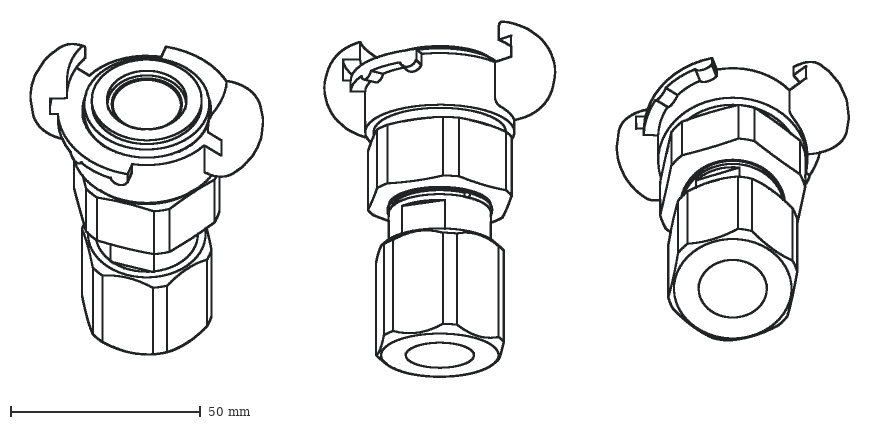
import cadquery as cq
import math

total_height = 89.9

wrench_flat_bottom = 29.5
end_nut_top = 29.85
wrench_flat_top = 38.75
snap_groove_bottom = 40.4
snap_groove_top = 41.9
union_nut_bottom = 42.4
union_nut_top = 60.4
head_bottom = 63.3
flange_top = 77.95
seal_shoulder_top = 80.6
seal_lip_top = 82.0

barrel_diameter = 27.0
snap_groove_diameter = 25.0
collar_diameter = 35.0
head_diameter = 39.4
seal_shoulder_diameter = 33.0
seal_lip_diameter = 29.0
seal_gap_diameter = 34.0
seal_gap_depth = 0.9
wrench_flat_width = 24.1

bore_diameter = 18.0
recess_mouth_diameter = 21.0
recess_floor_diameter = 20.7
recess_depth = 1.6
bore_chamfer = 0.3

end_nut_flats = 32.0
end_nut_corner_diameter = 35.0
end_nut_face_diameter = 31.0
end_nut_chamfer = 2.0
union_nut_flats = 36.0
union_nut_corner_diameter = 39.3
union_nut_top_face_diameter = 35.6
union_nut_top_chamfer = 0.5
union_nut_bottom_face_diameter = 31.8
union_nut_bottom_chamfer = 0.8

snap_ring_diameter = 27.7
snap_ring_end_y = 7.6

lug_diameter = 47.0
lug_thickness = 3.15
bump_radius = 2.4
bump_axis_z = 75.6
lug_end_x = bump_radius
bump_angles = (0, 35)

claw_reach = 31.5
claw_half_angle = 21.3
claw_root_x = 18.0
claw_section_radius = 12.05
claw_crown_axis_x = 14.4
claw_edge_fillet = 2.1
claw_tip_radius = 21.0
claw_slot_radius = 25.5
claw_slot_top = 83.9


def cylinder(diameter, bottom, top):
    return cq.Workplane("XY").workplane(offset=bottom).circle(diameter / 2).extrude(top - bottom)


def hex_nut(flats, corner_diameter, bottom, top, bottom_face, bottom_chamfer, top_face, top_chamfer):
    """Hexagon with corners on the X axis, trimmed by a turned envelope with conical ends."""
    corner_radius = corner_diameter / 2
    hexagon = (
        cq.Workplane("XY").workplane(offset=bottom)
        .polygon(6, flats, circumscribed=True).extrude(top - bottom)
        .rotate((0, 0, 0), (0, 0, 1), 30)
    )
    envelope = (
        cq.Workplane("XZ")
        .polyline([
            (0, bottom),
            (bottom_face / 2, bottom),
            (corner_radius, bottom + bottom_chamfer),
            (corner_radius, top - top_chamfer),
            (top_face / 2, top),
            (0, top),
        ])
        .close().revolve(360, (0, 0), (0, 1))
    )
    return hexagon.intersect(envelope)


def barrel():
    """Turned neck between the nuts, with a groove for the snap ring."""
    return (
        cylinder(barrel_diameter, 0, snap_groove_bottom)
        .union(cylinder(snap_groove_diameter, snap_groove_bottom, snap_groove_top))
        .union(cylinder(barrel_diameter, snap_groove_top, union_nut_top))
    )


def wrench_flat_waste():
    """Two segments removed from the barrel, reaching slightly into the end nut."""
    between_flats = (
        cq.Workplane("XY").workplane(offset=wrench_flat_bottom)
        .rect(barrel_diameter, wrench_flat_width).extrude(wrench_flat_top - wrench_flat_bottom)
    )
    return cylinder(barrel_diameter, wrench_flat_bottom, wrench_flat_top).cut(between_flats)


def snap_ring():
    """Round wire ring, open on the +Y side, filled inward to the groove floor."""
    outer = snap_ring_diameter / 2
    groove_floor = snap_groove_diameter / 2
    wire_radius = (snap_groove_top - snap_groove_bottom) / 2
    ring = (
        cq.Workplane("XZ")
        .moveTo(groove_floor, snap_groove_bottom)
        .lineTo(outer - wire_radius, snap_groove_bottom)
        .threePointArc(
            (outer, snap_groove_bottom + wire_radius),
            (outer - wire_radius, snap_groove_top),
        )
        .lineTo(groove_floor, snap_groove_top)
        .close().revolve(360, (0, 0), (0, 1))
    )
    opening = (
        cq.Workplane("XY").workplane(offset=snap_groove_bottom)
        .center(0, snap_ring_end_y + outer)
        .rect(2 * outer, 2 * outer).extrude(2 * wire_radius)
    )
    return ring.cut(opening)


def lug():
    """Flange sector on the -X, -Y side, running from the claw to just past the Y axis."""
    outer = lug_diameter / 2
    claw_side = math.tan(math.radians(claw_half_angle)) * outer
    sector = (
        cq.Workplane("XY")
        .polyline([(0, 0), (-outer, -claw_side), (-outer, -outer), (lug_end_x, -outer), (lug_end_x, 0)])
        .close().extrude(total_height)
    )
    rim = cylinder(lug_diameter, head_bottom, flange_top)
    plate = cylinder(lug_diameter, flange_top - lug_thickness, flange_top).intersect(sector)
    for angle in bump_angles:
        bump = (
            cq.Workplane("XZ").center(0, bump_axis_z).circle(bump_radius).extrude(lug_diameter)
            .rotate((0, 0, 0), (0, 0, 1), -angle)
        )
        plate = plate.union(bump.intersect(rim))
    return plate


def claw():
    """Hooked claw on the +X side."""
    section_centre_x = claw_reach - claw_section_radius
    tip_rise = math.sqrt(claw_section_radius**2 - (claw_tip_radius - section_centre_x) ** 2)
    section_centre_z = total_height - tip_rise
    crown_offset = section_centre_x - claw_crown_axis_x
    pole_rise = math.sqrt(claw_section_radius**2 - crown_offset**2)
    dome = (
        cq.Workplane("XZ")
        .moveTo(claw_crown_axis_x, section_centre_z - pole_rise)
        .threePointArc((claw_reach, section_centre_z), (claw_crown_axis_x, section_centre_z + pole_rise))
        .close()
        .revolve(360, (claw_crown_axis_x, 0), (claw_crown_axis_x, 1))
    )
    side_slope = math.tan(math.radians(claw_half_angle))
    root_y = side_slope * claw_root_x
    side_y = side_slope * claw_reach
    wedge = (
        cq.Workplane("XY")
        .polyline([
            (claw_root_x, -root_y),
            (claw_reach, -side_y),
            (claw_reach, side_y),
            (claw_root_x, root_y),
        ])
        .close().extrude(2 * total_height)
    )
    blank = dome.intersect(wedge)
    side_faces = blank.faces("%PLANE").faces("not <X")
    rounded = side_faces.edges("not %LINE").fillet(claw_edge_fillet)
    blank = cq.Workplane(rounded.val().fix())
    slot = cylinder(2 * claw_slot_radius, flange_top, claw_slot_top)
    throat = cylinder(2 * claw_tip_radius, flange_top, 2 * total_height)
    return blank.cut(slot).cut(throat)


def bore():
    """Through bore with a shallow tapered recess at the seal."""
    bore_radius = bore_diameter / 2
    recess_floor = seal_lip_top - recess_depth
    return (
        cq.Workplane("XZ")
        .polyline([
            (0, 0),
            (bore_radius, 0),
            (bore_radius, recess_floor - bore_chamfer),
            (bore_radius + bore_chamfer, recess_floor),
            (recess_floor_diameter / 2, recess_floor),
            (recess_mouth_diameter / 2, seal_lip_top),
            (0, seal_lip_top),
        ])
        .close().revolve(360, (0, 0), (0, 1))
    )


end_nut = hex_nut(
    end_nut_flats, end_nut_corner_diameter, 0, end_nut_top,
    end_nut_face_diameter, end_nut_chamfer, end_nut_face_diameter, end_nut_chamfer,
)
union_nut = hex_nut(
    union_nut_flats, union_nut_corner_diameter, union_nut_bottom, union_nut_top,
    union_nut_bottom_face_diameter, union_nut_bottom_chamfer,
    union_nut_top_face_diameter, union_nut_top_chamfer,
)
head = cylinder(collar_diameter, union_nut_top, head_bottom).union(
    cylinder(head_diameter, head_bottom, flange_top)
)
for side in (0, 180):
    head = head.union(lug().rotate((0, 0, 0), (0, 0, 1), side))
    head = head.union(claw().rotate((0, 0, 0), (0, 0, 1), side))

seal_gap_floor = flange_top - seal_gap_depth
head = head.cut(cylinder(seal_gap_diameter, seal_gap_floor, flange_top))
seal = cylinder(seal_shoulder_diameter, seal_gap_floor, seal_shoulder_top).union(
    cylinder(seal_lip_diameter, seal_shoulder_top, seal_lip_top)
)

result = end_nut
for piece in (barrel(), snap_ring(), union_nut, head, seal):
    result = result.union(piece)
result = result.cut(wrench_flat_waste()).cut(bore())